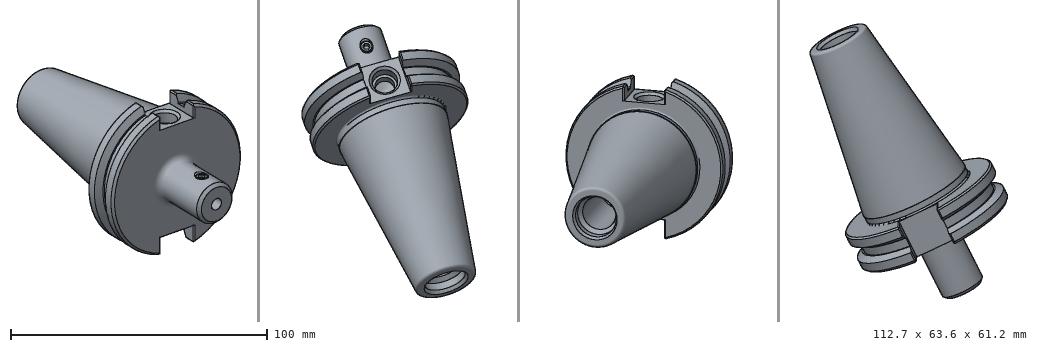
import cadquery as cq
import math


total_length = 112.7
gauge_x = 68.4
flange_front_x = 71.6
flange_back_x = 87.5

gauge_radius = 22.2
taper_slope = 7 / 48
tip_radius = gauge_radius - taper_slope * gauge_x
tip_rounding = 1.2
neck_radius = 22.0
neck_fillet = 0.7

flange_radius = 31.8
front_rim_chamfer = 0.7
back_rim_chamfer = 1.0
groove_center_x = 79.3
groove_floor_width = 3.7
groove_floor_radius = 28.2
groove_wall_height = 0.7
groove_flank_angle = 30

slot_width = 16.2
upper_slot_floor = 24.7
lower_slot_floor = 22.7
slot_chamfer = 0.6

nose_radius = 8.74
nose_fillet = 2.9
nose_chamfer = 1.4

mouth_radius = 9.0
mouth_depth = 1.5
thread_radius = 8.2
thread_depth = 4.5
thread_runout = 1.8
pilot_radius = 6.71
pilot_depth = 33.8
feed_radius = 4.0
feed_depth = 56.4
coolant_radius = 2.42
drill_half_angle = 59

pocket_x = 79.5
pocket_radius = 5.02
pocket_depth = 5.4
pocket_mouth_radius = 6.1
pocket_mouth_depth = 1.0
pocket_core_radius = 3.89
pocket_core_depth = 9.0
pocket_tip_half_angle = 70

screw_x = 103.1
screw_radius = 2.4
screw_top = 8.28
screw_bottom = 2.9
countersink_radius = 3.21
socket_flats = 2.5
socket_depth = 2.3
socket_turn = 15
screw_chamfer = 0.2


def drill_tip_length(large_radius, small_radius):
    """Axial length of a drill-point cone between two radii."""
    return (large_radius - small_radius) / math.tan(math.radians(drill_half_angle))


def turned_outside():
    flank_height = flange_radius - groove_floor_radius - groove_wall_height
    flank_run = flank_height * math.tan(math.radians(groove_flank_angle))
    flank_root_radius = groove_floor_radius + groove_wall_height
    groove_left = groove_center_x - groove_floor_width / 2
    groove_right = groove_center_x + groove_floor_width / 2
    diagonal = math.sqrt(0.5)
    neck_arc_x = flange_front_x - neck_fillet
    nose_arc_x = flange_back_x + nose_fillet
    neck_arc_middle = (
        neck_arc_x + neck_fillet * diagonal,
        neck_radius + neck_fillet * (1 - diagonal),
    )
    nose_arc_middle = (
        nose_arc_x - nose_fillet * diagonal,
        nose_radius + nose_fillet * (1 - diagonal),
    )
    profile = (
        cq.Workplane("XY")
        .lineTo(0, tip_radius)
        .lineTo(gauge_x, gauge_radius)
        .lineTo(gauge_x, neck_radius)
        .lineTo(neck_arc_x, neck_radius)
        .threePointArc(neck_arc_middle, (flange_front_x, neck_radius + neck_fillet))
        .lineTo(flange_front_x, flange_radius - front_rim_chamfer)
        .lineTo(flange_front_x + front_rim_chamfer, flange_radius)
        .lineTo(groove_left - flank_run, flange_radius)
        .lineTo(groove_left, flank_root_radius)
        .lineTo(groove_left, groove_floor_radius)
        .lineTo(groove_right, groove_floor_radius)
        .lineTo(groove_right, flank_root_radius)
        .lineTo(groove_right + flank_run, flange_radius)
        .lineTo(flange_back_x - back_rim_chamfer, flange_radius)
        .lineTo(flange_back_x, flange_radius - back_rim_chamfer)
        .lineTo(flange_back_x, nose_radius + nose_fillet)
        .threePointArc(nose_arc_middle, (nose_arc_x, nose_radius))
        .lineTo(total_length - nose_chamfer, nose_radius)
        .lineTo(total_length, nose_radius - nose_chamfer)
        .lineTo(total_length, 0)
        .close()
    )
    turned = profile.revolve(360, (0, 0, 0), (1, 0, 0))
    return turned.faces("<X").edges().fillet(tip_rounding)


def axial_bore():
    thread_end = thread_depth + thread_runout
    pilot_end = pilot_depth + drill_tip_length(pilot_radius, feed_radius)
    feed_end = feed_depth + drill_tip_length(feed_radius, coolant_radius)
    profile = (
        cq.Workplane("XY")
        .lineTo(0, mouth_radius)
        .lineTo(mouth_depth, thread_radius)
        .lineTo(thread_depth, thread_radius)
        .lineTo(thread_end, pilot_radius)
        .lineTo(pilot_depth, pilot_radius)
        .lineTo(pilot_end, feed_radius)
        .lineTo(feed_depth, feed_radius)
        .lineTo(feed_end, coolant_radius)
        .lineTo(total_length, coolant_radius)
        .lineTo(total_length, 0)
        .close()
    )
    return profile.revolve(360, (0, 0, 0), (1, 0, 0))


def driving_slot(floor_height):
    """Slot on the +Z side, opened by a chamfer at the flange faces and rim."""
    half_width = slot_width / 2
    flared_half_width = half_width + slot_chamfer
    flange_width = flange_back_x - flange_front_x
    rim_height = math.sqrt(flange_radius**2 - flared_half_width**2)

    slot = (
        cq.Workplane("YZ", origin=(flange_front_x, 0, 0))
        .moveTo(-half_width, floor_height)
        .lineTo(half_width, floor_height)
        .lineTo(half_width, rim_height - slot_chamfer)
        .lineTo(flared_half_width, rim_height)
        .lineTo(flared_half_width, flange_radius)
        .lineTo(-flared_half_width, flange_radius)
        .lineTo(-flared_half_width, rim_height)
        .lineTo(-half_width, rim_height - slot_chamfer)
        .close()
        .extrude(flange_width)
    )
    for face_x, inward in ((flange_front_x, 1), (flange_back_x, -1)):
        flare = (
            cq.Workplane("XY", origin=(0, 0, floor_height))
            .moveTo(face_x, -flared_half_width)
            .lineTo(face_x, flared_half_width)
            .lineTo(face_x + inward * slot_chamfer, half_width)
            .lineTo(face_x + inward * slot_chamfer, -half_width)
            .close()
            .extrude(flange_radius - floor_height)
        )
        slot = slot.union(flare)
    return slot


def slot_pocket():
    tip_length = pocket_core_radius / math.tan(math.radians(pocket_tip_half_angle))
    tip_depth = pocket_core_depth + tip_length
    profile = (
        cq.Workplane("XZ", origin=(pocket_x, 0, upper_slot_floor))
        .lineTo(pocket_mouth_radius, 0)
        .lineTo(pocket_radius, -pocket_mouth_depth)
        .lineTo(pocket_radius, -pocket_depth)
        .lineTo(pocket_core_radius, -pocket_depth)
        .lineTo(pocket_core_radius, -pocket_core_depth)
        .lineTo(0, -tip_depth)
        .close()
    )
    return profile.revolve(360, (0, 0, 0), (0, 1, 0))


def screw_hole():
    """Countersunk radial hole running into the coolant bore."""
    profile = (
        cq.Workplane("XZ", origin=(screw_x, 0, 0))
        .lineTo(screw_radius, 0)
        .lineTo(screw_radius, screw_top)
        .lineTo(countersink_radius, nose_radius)
        .lineTo(0, nose_radius)
        .close()
    )
    return profile.revolve(360, (0, 0, 0), (0, 1, 0))


def make_holder():
    upper_slot = driving_slot(upper_slot_floor)
    lower_slot = driving_slot(lower_slot_floor).rotate((0, 0, 0), (1, 0, 0), 180)
    return (
        turned_outside()
        .cut(axial_bore())
        .cut(upper_slot)
        .cut(lower_slot)
        .cut(slot_pocket())
        .cut(screw_hole())
    )


def make_set_screw():
    socket_corners = socket_flats / math.cos(math.radians(30))
    body = (
        cq.Workplane("XY", origin=(screw_x, 0, screw_bottom))
        .circle(screw_radius)
        .extrude(screw_top - screw_bottom)
        .faces(">Z")
        .chamfer(screw_chamfer)
    )
    socket = (
        cq.Workplane("XY", origin=(screw_x, 0, screw_top - socket_depth))
        .transformed(rotate=(0, 0, socket_turn))
        .polygon(6, socket_corners)
        .extrude(socket_depth)
    )
    return body.cut(socket)


holder = make_holder()
set_screw = make_set_screw()
result = cq.Compound.makeCompound([holder.val(), set_screw.val()])